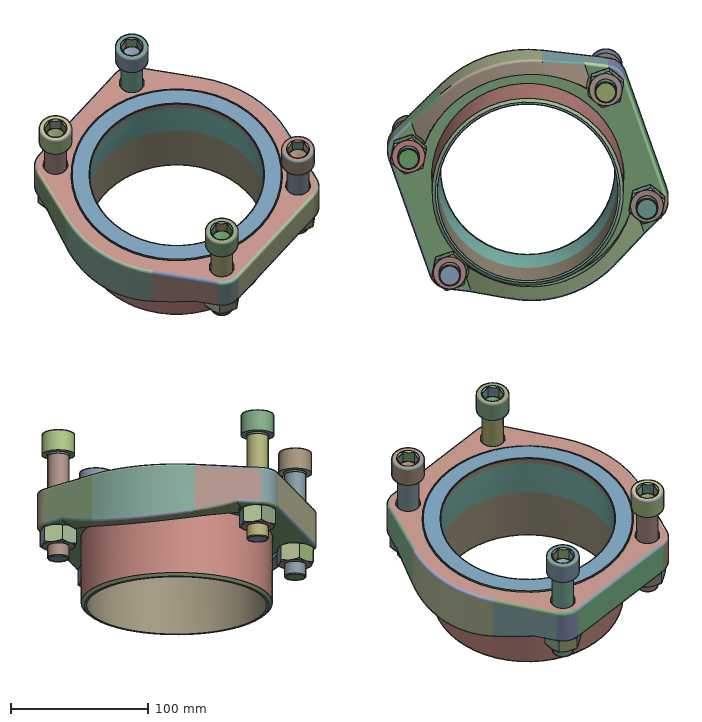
import cadquery as cq
import math

PLATE_LENGTH = 183.0
BOLT_SPACING_X = 152.3
BOLT_SPACING_Y = 92.0
END_RADIUS = 90.0
PLATE_TOP = 79.5
PLATE_THICKNESS = 28.0
EDGE_FILLET = 2.0
BOLT_HOLE_DIAMETER = 18.0
PLATE_BORE_DIAMETER = 140.4
RECESS_DIAMETER = 153.2
RECESS_CHAMFER = 0.5
SKIRT_DEPTH = 12.8
SKIRT_HALF_WIDTH = 66.8
SKIRT_INNER_DIAMETER = 158.5
NUT_SEAT_DIAMETER = 27.8

SLEEVE_HEIGHT = 80.0
SLEEVE_DIAMETER = 139.6
COLLAR_DIAMETER = 152.5
COLLAR_THICKNESS = 9.5
PIPE_BORE_DIAMETER = 131.8
THROAT_DIAMETER = 127.0
THROAT_LENGTH = 5.3
PIPE_BORE_HEIGHT = 42.8
PIPE_CHAMFER_WIDTH = 2.4
PIPE_CHAMFER_HEIGHT = 2.0
RIM_CHAMFER = 0.5

SCREW_TOP = 124.6
HEAD_DIAMETER = 24.0
HEAD_HEIGHT = 16.0
HEAD_FILLET = 1.3
NECK_DIAMETER = 17.0
NECK_HEIGHT = 1.3
SHANK_DIAMETER = 15.7
SHANK_TIP_DIAMETER = 14.3
SHANK_LENGTH = 80.0
SOCKET_WIDTH = 14.0
SOCKET_DEPTH = 10.0
SOCKET_TURN = 38.0
SOCKET_MOUTH_DIAMETER = 16.7
DRILL_POINT_ANGLE = 120.0

NUT_WIDTH = 24.0
NUT_HEIGHT = 13.0
NUT_CHAMFER_ANGLE = 30.0

PLATE_BOTTOM = PLATE_TOP - PLATE_THICKNESS
SKIRT_BOTTOM = PLATE_BOTTOM - SKIRT_DEPTH
COLLAR_BOTTOM = SLEEVE_HEIGHT - COLLAR_THICKNESS
BOLT_X = BOLT_SPACING_X / 2
BOLT_Y = BOLT_SPACING_Y / 2
BOLT_CENTRES = [(x, y) for x in (-BOLT_X, BOLT_X) for y in (-BOLT_Y, BOLT_Y)]


def across_corners(width_across_flats):
    return width_across_flats / math.cos(math.radians(30))


def plate_outline():
    """Closed outline of end arcs and bolt-centred corner arcs joined by their tangent lines."""
    corner_radius = PLATE_LENGTH / 2 - BOLT_X
    bolt_distance = math.hypot(BOLT_X, BOLT_Y)
    slope = math.atan2(BOLT_X, BOLT_Y) - math.acos((END_RADIUS - corner_radius) / bolt_distance)
    mid_corner = (slope + math.pi / 2) / 2

    def end_point(angle):
        return END_RADIUS * math.sin(angle), END_RADIUS * math.cos(angle)

    def corner_point(angle):
        return BOLT_X + corner_radius * math.sin(angle), BOLT_Y + corner_radius * math.cos(angle)

    end_x, end_y = end_point(slope)
    near_x, near_y = corner_point(slope)
    mid_x, mid_y = corner_point(mid_corner)
    side_x, side_y = corner_point(math.pi / 2)
    return (
        cq.Workplane("XY")
        .moveTo(-end_x, end_y)
        .threePointArc((0, END_RADIUS), (end_x, end_y))
        .lineTo(near_x, near_y)
        .threePointArc((mid_x, mid_y), (side_x, side_y))
        .lineTo(side_x, -side_y)
        .threePointArc((mid_x, -mid_y), (near_x, -near_y))
        .lineTo(end_x, -end_y)
        .threePointArc((0, -END_RADIUS), (-end_x, -end_y))
        .lineTo(-near_x, -near_y)
        .threePointArc((-mid_x, -mid_y), (-side_x, -side_y))
        .lineTo(-side_x, side_y)
        .threePointArc((-mid_x, mid_y), (-near_x, near_y))
        .close()
    )


def cylinder(diameter, bottom, top):
    return cq.Workplane("XY").workplane(offset=bottom).circle(diameter / 2).extrude(top - bottom)


def plate_slab():
    slab = plate_outline().extrude(PLATE_THICKNESS).translate((0, 0, PLATE_BOTTOM))
    return slab.faces("<Z or >Z").edges().fillet(EDGE_FILLET)


def arched_skirt():
    """Block of the plate outline whose underside is a cylinder along Y, lowest at the middle."""
    arch_radius = (SKIRT_HALF_WIDTH**2 + SKIRT_DEPTH**2) / (2 * SKIRT_DEPTH)
    block_height = PLATE_TOP - EDGE_FILLET - SKIRT_BOTTOM
    block = plate_outline().extrude(block_height).translate((0, 0, SKIRT_BOTTOM))
    arch = (
        cq.Workplane("XZ")
        .center(0, SKIRT_BOTTOM + arch_radius)
        .circle(arch_radius)
        .extrude(PLATE_LENGTH, both=True)
    )
    return block.intersect(arch).faces("<Z").edges().fillet(EDGE_FILLET)


def collar_recess():
    """Round pocket for the sleeve collar, with a chamfered mouth."""
    radius = RECESS_DIAMETER / 2
    return (
        cq.Workplane("XZ")
        .moveTo(0, COLLAR_BOTTOM)
        .lineTo(radius, COLLAR_BOTTOM)
        .lineTo(radius, PLATE_TOP - RECESS_CHAMFER)
        .lineTo(radius + RECESS_CHAMFER, PLATE_TOP)
        .lineTo(0, PLATE_TOP)
        .close()
        .revolve(360, (0, 0, 0), (0, 1, 0))
    )


def make_flange():
    """Plate and skirts, with round seats that clear the nuts where they reach the skirts."""
    body = plate_slab().union(arched_skirt())
    body = body.cut(cylinder(SKIRT_INNER_DIAMETER, SKIRT_BOTTOM, PLATE_BOTTOM))
    body = body.cut(cylinder(PLATE_BORE_DIAMETER, SKIRT_BOTTOM, PLATE_TOP))
    body = body.cut(collar_recess())
    for x, y in BOLT_CENTRES:
        bolt_hole = cylinder(BOLT_HOLE_DIAMETER, PLATE_BOTTOM, PLATE_TOP)
        nut_seat = cylinder(NUT_SEAT_DIAMETER, SKIRT_BOTTOM, PLATE_BOTTOM)
        body = body.cut(bolt_hole.union(nut_seat).translate((x, y, 0)))
    return body


def make_sleeve():
    """Collared pipe whose bore widens as a cone below a cylindrical throat."""
    outer = SLEEVE_DIAMETER / 2
    collar = COLLAR_DIAMETER / 2
    throat = THROAT_DIAMETER / 2
    bore = PIPE_BORE_DIAMETER / 2
    return (
        cq.Workplane("XZ")
        .moveTo(bore, PIPE_BORE_HEIGHT)
        .lineTo(bore, 0)
        .lineTo(outer - PIPE_CHAMFER_WIDTH, 0)
        .lineTo(outer, PIPE_CHAMFER_HEIGHT)
        .lineTo(outer, COLLAR_BOTTOM)
        .lineTo(collar, COLLAR_BOTTOM)
        .lineTo(collar, SLEEVE_HEIGHT)
        .lineTo(throat + RIM_CHAMFER, SLEEVE_HEIGHT)
        .lineTo(throat, SLEEVE_HEIGHT - RIM_CHAMFER)
        .lineTo(throat, SLEEVE_HEIGHT - THROAT_LENGTH)
        .close()
        .revolve(360, (0, 0, 0), (0, 1, 0))
    )


def make_screw(x, y):
    head_bottom = SCREW_TOP - HEAD_HEIGHT
    tip = head_bottom - SHANK_LENGTH
    head = cylinder(HEAD_DIAMETER, head_bottom, SCREW_TOP).faces(">Z").edges().fillet(HEAD_FILLET)
    shank_radius = SHANK_DIAMETER / 2
    tip_radius = SHANK_TIP_DIAMETER / 2
    shank = (
        cq.Workplane("XZ")
        .moveTo(0, tip)
        .lineTo(tip_radius, tip)
        .lineTo(shank_radius, tip + shank_radius - tip_radius)
        .lineTo(shank_radius, head_bottom - NECK_HEIGHT)
        .lineTo(NECK_DIAMETER / 2, head_bottom)
        .lineTo(0, head_bottom)
        .close()
        .revolve(360, (0, 0, 0), (0, 1, 0))
    )
    body = head.union(shank)
    return body.cut(socket()).translate((x, y, 0))


def socket():
    """Hexagon socket, turned about its axis, with a countersunk mouth and a drilled point."""
    mouth = SOCKET_MOUTH_DIAMETER / 2
    drill = SOCKET_WIDTH / 2
    floor = SCREW_TOP - SOCKET_DEPTH
    point = floor - drill / math.tan(math.radians(DRILL_POINT_ANGLE / 2))
    hexagon = (
        cq.Workplane("XY")
        .workplane(offset=floor)
        .transformed(rotate=(0, 0, SOCKET_TURN))
        .polygon(6, across_corners(SOCKET_WIDTH))
        .extrude(SOCKET_DEPTH)
    )
    countersink = (
        cq.Workplane("XZ")
        .moveTo(0, SCREW_TOP)
        .lineTo(mouth, SCREW_TOP)
        .lineTo(drill, SCREW_TOP - (mouth - drill))
        .lineTo(drill, floor)
        .lineTo(0, point)
        .close()
        .revolve(360, (0, 0, 0), (0, 1, 0))
    )
    return hexagon.union(countersink)


def make_nut(x, y):
    corner = across_corners(NUT_WIDTH) / 2
    flat = NUT_WIDTH / 2
    bevel = (corner - flat) * math.tan(math.radians(NUT_CHAMFER_ANGLE))
    bottom = PLATE_BOTTOM - NUT_HEIGHT
    hexagon = cq.Workplane("XY").workplane(offset=bottom).polygon(6, 2 * corner).extrude(NUT_HEIGHT)
    bevelled_round = (
        cq.Workplane("XZ")
        .moveTo(0, bottom)
        .lineTo(flat, bottom)
        .lineTo(corner, bottom + bevel)
        .lineTo(corner, PLATE_BOTTOM - bevel)
        .lineTo(flat, PLATE_BOTTOM)
        .lineTo(0, PLATE_BOTTOM)
        .close()
        .revolve(360, (0, 0, 0), (0, 1, 0))
    )
    thread_hole = cylinder(SHANK_DIAMETER, bottom, PLATE_BOTTOM)
    return hexagon.intersect(bevelled_round).cut(thread_hole).translate((x, y, 0))


flange = make_flange()
sleeve = make_sleeve()
screws = [make_screw(x, y).val() for x, y in BOLT_CENTRES]
nuts = [make_nut(x, y).val() for x, y in BOLT_CENTRES]

result = cq.Compound.makeCompound([flange.val(), sleeve.val(), *screws, *nuts])